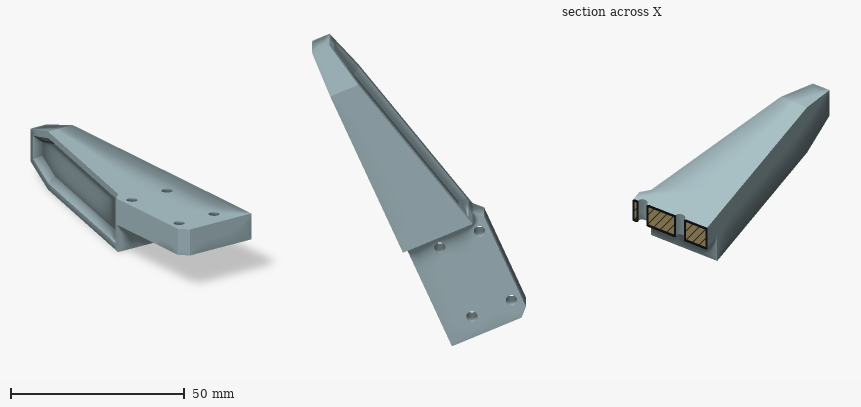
import cadquery as cq
import math

length = 100.3
width = 24.4
height = 18.0

body_length = 65.2
nose_length = 13.0
nose_height = 10.1
tip_width = 5.5

plate_thickness = 8.0
corner_chamfer = 2.5
hole_diameter = 3.2
hole_columns = (71.3, 94.3)
hole_rows = (-8.9, -21.4)

rim = 2.0
recess_depth = 2.0
recess_wall_angle = 45.0

shoulder_width = width - corner_chamfer
slope_angle = math.atan2(shoulder_width - tip_width, body_length)
nose_drop = (height - nose_height) / 2


def nosed_outline(plane, stretch):
    """Pointed side outline, with lengths multiplied by stretch."""
    return cq.Workplane(plane).polyline([
        (0, -nose_drop),
        (nose_length * stretch, 0),
        (body_length * stretch, 0),
        (body_length * stretch, -height),
        (nose_length * stretch, -height),
        (0, -height + nose_drop),
    ]).close()


def make_body():
    footprint = (
        cq.Workplane("XY")
        .polyline([(0, 0), (body_length, 0), (body_length, -shoulder_width), (0, -tip_width)])
        .close()
        .extrude(-height)
    )
    return nosed_outline("XZ", 1).extrude(width).intersect(footprint)


def make_plate():
    plate = (
        cq.Workplane("XY")
        .polyline([
            (body_length, 0),
            (length, 0),
            (length, -shoulder_width),
            (length - corner_chamfer, -width),
            (body_length + corner_chamfer, -width),
            (body_length, -shoulder_width),
        ])
        .close()
        .extrude(-plate_thickness)
    )
    holes = (
        cq.Workplane("XY")
        .pushPoints([(x, y) for x in hole_columns for y in hole_rows])
        .circle(hole_diameter / 2)
        .extrude(-plate_thickness)
    )
    return plate.cut(holes)


def make_recess():
    """Recess sunk square to the sloping face, narrowing towards its floor."""
    face_plane = cq.Plane(
        origin=(0, -tip_width, 0),
        xDir=(math.cos(slope_angle), -math.sin(slope_angle), 0),
        normal=(-math.sin(slope_angle), -math.cos(slope_angle), 0),
    )
    return (
        nosed_outline(face_plane, 1 / math.cos(slope_angle))
        .offset2D(-rim, "intersection")
        .extrude(-recess_depth, taper=recess_wall_angle)
    )


result = make_body().union(make_plate()).cut(make_recess())